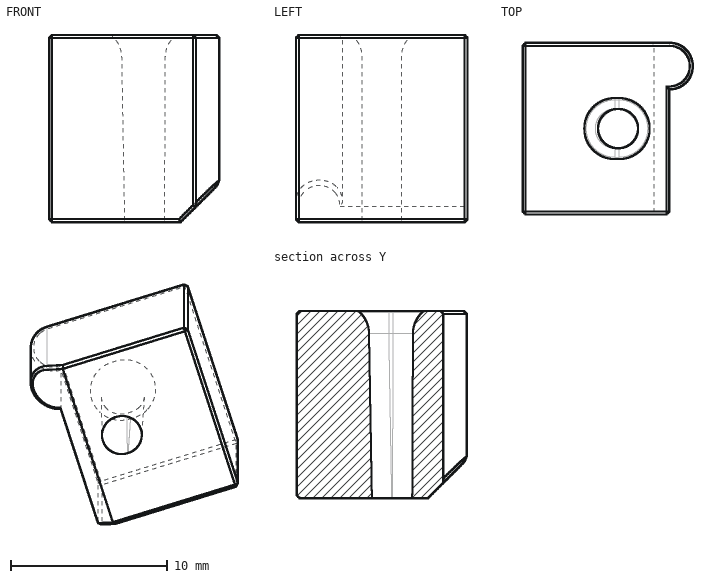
import cadquery as cq
import math

block_x = 9.4
block_y = 11.0
height = 12.0
edge_chamfer = 0.2

lug_radius = 1.5
lug_y = block_y - lug_radius
lug_front_y = lug_y - lug_radius
overall_x = block_x + lug_radius
lug_root_x = block_x - lug_radius / 2

slope_size = 2.5
slope_start_x = overall_x - slope_size

hole_y = 5.5
bore_radius = 1.25
mouth_center_x = 6.04
mouth_travel = 0.28
exit_center_x = 6.11
exit_travel = 0.05

flare_arc_radius = 1.85
flare_depth = 1.45
rim_width = 0.12
rim_depth = 0.1
throat_z = height - flare_depth


def cut_slope(body):
    """Slope off the lower right edge at 45 degrees."""
    slope = (
        cq.Workplane("XZ")
        .moveTo(slope_start_x, 0)
        .lineTo(overall_x, 0)
        .lineTo(overall_x, slope_size)
        .close()
        .extrude(-block_y)
    )
    return body.cut(slope)


def make_block():
    """Sloped block with every edge broken except the two straight borders of the slope."""
    block = cut_slope(cq.Workplane("XY").box(block_x, block_y, height, centered=False))
    slope_border_x = (slope_start_x, block_x)
    slope_borders = [
        block.edges(cq.NearestToPointSelector((x, block_y / 2, x - slope_start_x))).val()
        for x in slope_border_x
    ]
    broken_edges = [
        edge for edge in block.edges().vals()
        if not any(edge.isSame(border) for border in slope_borders)
    ]
    return block.newObject(broken_edges).chamfer(edge_chamfer)


def make_lug():
    """Round-nosed lug rooted inside the block, with its top and sloped outlines broken."""
    lug = cut_slope(
        cq.Workplane("XY")
        .moveTo(lug_root_x, lug_front_y)
        .lineTo(block_x, lug_front_y)
        .threePointArc((overall_x, lug_y), (block_x, block_y))
        .lineTo(lug_root_x, block_y)
        .close()
        .extrude(height)
    )
    root_edges = lug.faces("<X").edges().vals()
    broken_edges = [
        edge for edge in lug.edges("not(|Z)").vals()
        if not any(edge.isSame(root) for root in root_edges)
    ]
    return lug.newObject(broken_edges).chamfer(edge_chamfer)


def make_bore():
    """Through bore, an elongated section at the throat tapering to the exit."""
    return (
        cq.Workplane("XY")
        .center(exit_center_x, hole_y)
        .slot2D(exit_travel + 2 * bore_radius, 2 * bore_radius)
        .workplane(offset=throat_z)
        .center(mouth_center_x - exit_center_x, 0)
        .slot2D(mouth_travel + 2 * bore_radius, 2 * bore_radius)
        .loft(ruled=True)
    )


def make_mouth():
    """Flared mouth: the flare turned about both ends of its travel and swept between them."""
    arc_height = flare_depth - rim_depth
    arc_angle = math.asin(arc_height / flare_arc_radius)

    def flare_point(angle):
        radius = bore_radius + flare_arc_radius * (1 - math.cos(angle))
        return radius, throat_z + flare_arc_radius * math.sin(angle)

    rim_radius = flare_point(arc_angle)[0] + rim_width

    def half_section(workplane):
        return (
            workplane
            .moveTo(0, throat_z)
            .lineTo(bore_radius, throat_z)
            .threePointArc(flare_point(arc_angle / 2), flare_point(arc_angle))
            .lineTo(rim_radius, height)
            .lineTo(0, height)
            .close()
        )

    first_x = mouth_center_x - mouth_travel / 2
    last_x = mouth_center_x + mouth_travel / 2
    first_end = half_section(cq.Workplane("XZ", origin=(first_x, hole_y, 0)))
    last_end = half_section(cq.Workplane("XZ", origin=(last_x, hole_y, 0)))
    back_half = half_section(cq.Workplane("YZ", origin=(first_x, hole_y, 0))).extrude(mouth_travel)
    front_half = back_half.mirror("XZ", (0, hole_y, 0))
    mouth = first_end.revolve(360, (0, 0), (0, 1))
    mouth = mouth.union(last_end.revolve(360, (0, 0), (0, 1)))
    return mouth.union(back_half).union(front_half)


result = make_block().union(make_lug()).cut(make_bore()).cut(make_mouth())